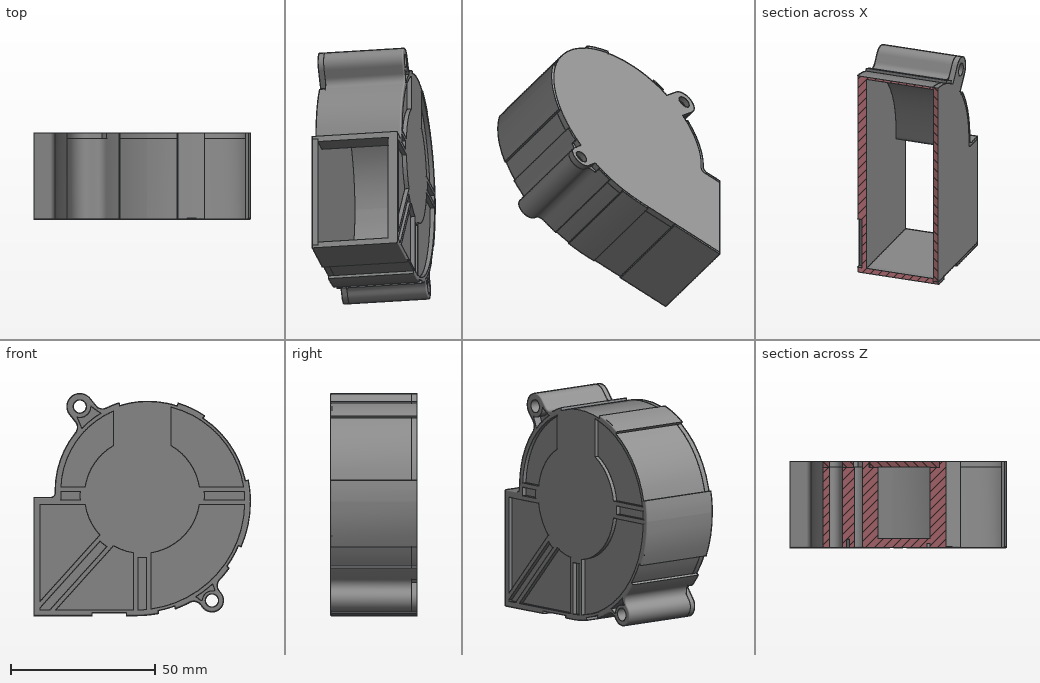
import cadquery as cq
import math


depth = 30.0
lid_thickness = 2.0
front_wall = 3.3
side_wall = 2.0
rim_wall = 1.0
front_edge_radius = 0.5
pocket_depth = 1.5

scroll_near = 1.75
scroll_step = 3.8
scroll_far = scroll_near - scroll_step
upper_left_radius = 31.95
upper_right_radius = upper_left_radius + scroll_step
lower_right_radius = upper_right_radius + scroll_step
upper_left_center = (scroll_near, scroll_near)
upper_right_center = (scroll_near, scroll_far)
lower_right_center = (scroll_far, scroll_far)
scroll_bottom = scroll_far - lower_right_radius

outlet_x = -37.5
outlet_top = -0.6
outlet_corner_radius = 1.5

hub_radius = 20.0
rib_width = 6.0
rib_groove_width = 3.0
rib_groove_start = hub_radius + 1.5
top_rib_width = 20.0
diagonal_rib_angle = 228.0
diagonal_rib_offset = 1.2

lug_hole_diameter = 4.5
lug_fillet = 3.0
lug_pocket_ring = 0.7
lug_pocket_depth = 3.0
lug_pocket_half_widths = (3.0, 4.2)
lug_pocket_reach = (2.2, 6.4)
upper_lug = {
    "hole": (-21.62, 30.88),
    "radius": 4.5,
    "center": upper_left_center,
    "scroll_radius": upper_left_radius,
}
lower_lug = {
    "hole": (24.15, -36.3),
    "radius": 4.0,
    "center": lower_right_center,
    "scroll_radius": lower_right_radius,
}
lugs = [upper_lug, lower_lug]

rim_gaps = [(8.3, 52.0), (68.8, 104.0), (277.9, 286.3), (320.2, 332.6)]
bottom_gap = (-17.4, -5.5)

beyond = 60.0

lid_front = depth - lid_thickness


def plane_at(y):
    """Sketch plane across the hub axis at a given Y, with sketch coordinates (X, Z) and normal -Y."""
    return cq.Workplane("XZ", origin=(0, y, 0))


def prism(draw_outline, y_start, y_end):
    """Solid from y_start to y_end whose outline is drawn by a function on a sketch plane."""
    return draw_outline(plane_at(y_start)).extrude(y_start - y_end)


def on_arc(center, radius, degrees):
    angle = math.radians(degrees)
    return (center[0] + radius * math.cos(angle), center[1] + radius * math.sin(angle))


def arc_to(center, radius, middle, end):
    """Middle and end points of an arc, at the given angles."""
    return on_arc(center, radius, middle), on_arc(center, radius, end)


def scroll(inset, left, y_start, y_end):
    """Scroll and outlet outline, moved inward by inset and ending at x = left."""
    bottom = scroll_bottom + inset
    top = outlet_top - inset
    corner = outlet_corner_radius
    r_lower = lower_right_radius - inset
    r_right = upper_right_radius - inset
    r_left = upper_left_radius - inset
    neck_x = scroll_near - r_left
    corner_center = (neck_x - corner, top + corner)

    def outline(plane):
        return (
            plane.moveTo(left, bottom)
            .lineTo(scroll_far, bottom)
            .threePointArc(*arc_to(lower_right_center, r_lower, -45, 0))
            .threePointArc(*arc_to(upper_right_center, r_right, 45, 90))
            .threePointArc(*arc_to(upper_left_center, r_left, 135, 180))
            .lineTo(neck_x, top + corner)
            .threePointArc(*arc_to(corner_center, corner, -45, -90))
            .lineTo(left, top)
            .close()
        )

    return prism(outline, y_start, y_end)


def disc(center, radius, y_start, y_end):
    return prism(lambda plane: plane.center(*center).circle(radius), y_start, y_end)


def lug_point(lug, along, across):
    """Point at a distance along the lug's axis from its hole to its scroll arc centre, and across it."""
    hole_x, hole_z = lug["hole"]
    center_x, center_z = lug["center"]
    length = math.hypot(center_x - hole_x, center_z - hole_z)
    axis_x = (center_x - hole_x) / length
    axis_z = (center_z - hole_z) / length
    return (hole_x + along * axis_x - across * axis_z, hole_z + along * axis_z + across * axis_x)


def scroll_crossing(lug, across):
    """Distance along the lug's axis at which a line parallel to it meets the scroll."""
    length = math.dist(lug["hole"], lug["center"])
    return length - math.sqrt(lug["scroll_radius"] ** 2 - across**2)


def lug_flanks(lug, half_width, y_start, y_end):
    """Straight bar from the lug's hole to well inside the scroll wall."""
    root = scroll_crossing(lug, half_width) + side_wall
    corners = [(0, -half_width), (root, -half_width), (root, half_width), (0, half_width)]
    points = [lug_point(lug, *corner) for corner in corners]
    return prism(lambda plane: plane.polyline(points).close(), y_start, y_end)


def lug_body(lug, y_start, y_end):
    """Round lug with parallel flanks that run into the scroll wall."""
    boss = disc(lug["hole"], lug["radius"], y_start, y_end)
    return lug_flanks(lug, lug["radius"], y_start, y_end).union(boss)


def fillet_half_width(lug):
    """Distance from the lug's axis at which its root fillets run out on the scroll."""
    return (lug["radius"] + lug_fillet) / (1 + lug_fillet / lug["scroll_radius"])


def lug_pocket(lug):
    """Flared recess between the lug's boss and the scroll wall."""
    near, far = lug_pocket_reach
    near_half, far_half = lug_pocket_half_widths
    corners = [(near, -near_half), (far, -far_half), (far, far_half), (near, near_half)]
    points = [lug_point(lug, *corner) for corner in corners]
    pocket = prism(lambda plane: plane.polyline(points).close(), 0, lug_pocket_depth)
    pocket = pocket.cut(disc(lug["hole"], lug["radius"] - lug_pocket_ring, 0, lug_pocket_depth))
    return pocket.cut(disc(lug["center"], lug["scroll_radius"] - lug_pocket_ring, 0, lug_pocket_depth))


def rib_bar(angle, width, offset=0.0):
    """Bar of the pocket depth that runs outward from the hub at an angle about the Y axis."""
    bar = cq.Workplane("XY").box(beyond, pocket_depth, width, centered=(False, False, True))
    return bar.translate((0, 0, offset)).rotate((0, 0, 0), (0, 1, 0), -angle)


def front_pockets():
    """Pockets around the hub, separated by ribs, and the grooves along the narrow ribs."""
    field = scroll(side_wall, outlet_x + side_wall, 0, pocket_depth)
    narrow_ribs = [(0, 0), (180, 0), (270, 0), (diagonal_rib_angle, diagonal_rib_offset)]
    pockets = field.cut(disc((0, 0), hub_radius, 0, pocket_depth)).cut(rib_bar(90, top_rib_width))
    groove_field = field.cut(disc((0, 0), rib_groove_start, 0, pocket_depth))
    for angle, offset in narrow_ribs:
        pockets = pockets.cut(rib_bar(angle, rib_width, offset))
    for angle, offset in narrow_ribs:
        pockets = pockets.union(groove_field.intersect(rib_bar(angle, rib_groove_width, offset)))
    return pockets


def rim_gap_cutter():
    """Everything outside the lid outline within the rim gaps."""
    gap_width = bottom_gap[1] - bottom_gap[0]
    gaps = cq.Workplane("XY").box(gap_width, depth, beyond, centered=False)
    gaps = gaps.translate((bottom_gap[0], 0, -beyond))
    for start, end in rim_gaps:
        points = [(0, 0), on_arc((0, 0), beyond, start), on_arc((0, 0), beyond, end)]
        gaps = gaps.union(prism(lambda plane: plane.polyline(points).close(), 0, depth))
    return gaps.cut(scroll(rim_wall, outlet_x, 0, depth))


def make_lid():
    lid = scroll(rim_wall, outlet_x, lid_front, depth)
    for lug in lugs:
        lid = lid.union(lug_body(lug, lid_front, depth))
    for lug in lugs:
        lid = lid.cut(disc(lug["hole"], lug_hole_diameter / 2, lid_front, depth))
    return lid


def make_housing():
    shell = scroll(0, outlet_x, 0, lid_front)
    for lug in lugs:
        shell = shell.union(lug_body(lug, 0, lid_front))
    for lug in lugs:
        for across in (-lug["radius"], lug["radius"]):
            x, z = lug_point(lug, scroll_crossing(lug, across), across)
            shell = shell.edges(cq.NearestToPointSelector((x, lid_front / 2, z))).fillet(lug_fillet)

    shell = shell.faces("<Y").edges("not(<X)").fillet(front_edge_radius)

    rim = scroll(0, outlet_x, lid_front, depth).cut(scroll(rim_wall, outlet_x, lid_front, depth))
    for lug in lugs:
        rim = rim.cut(lug_flanks(lug, fillet_half_width(lug), lid_front, depth))
    housing = shell.union(rim)

    housing = housing.cut(scroll(side_wall, outlet_x, front_wall, lid_front))
    housing = housing.cut(rim_gap_cutter()).cut(front_pockets())
    for lug in lugs:
        housing = housing.cut(lug_pocket(lug))
        housing = housing.cut(disc(lug["hole"], lug_hole_diameter / 2, 0, lid_front))
    return housing


housing = make_housing()
lid = make_lid()
result = cq.Compound.makeCompound([*housing.vals(), *lid.vals()])